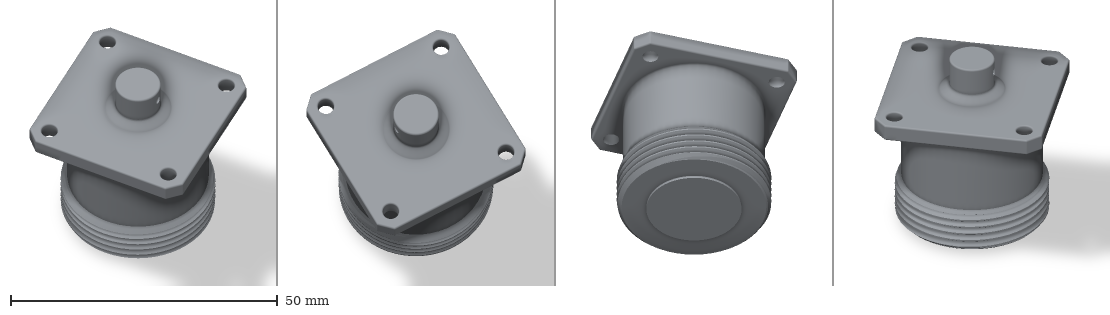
import cadquery as cq
import math

total_height = 34.37
flange_top = 27.65
flange_thickness = 3.2
flange_bottom = flange_top - flange_thickness

flange_width = 32.0
corner_cut = 2.45
edge_round = 0.35

hole_diameter = 3.02
hole_spacing = 24.8
hole_edge_round = 0.3

body_radius = 13.3
spigot_radius = 8.95
spigot_height = 0.5

thread_major_radius = 14.5
thread_root_radius = 13.6
thread_top = 9.05
thread_pitch = 1.48
thread_crest_width = 0.27
groove_width = thread_pitch - thread_crest_width
thread_end_radius = 13.58
groove_start_height = -thread_pitch
groove_turns = 8
groove_clearance = 0.07

knob_radius = 4.25
cone_radius = 6.3
cone_angle = 30.0
cross_hole_diameter = 1.48
cross_hole_height = 31.9


def make_flange():
    """Square plate with cut corners, all outer edges rounded, and four mounting holes."""
    plate = (
        cq.Workplane("XY")
        .workplane(offset=flange_bottom)
        .rect(flange_width, flange_width)
        .extrude(flange_thickness)
        .edges("|Z")
        .chamfer(corner_cut)
        .edges()
        .fillet(edge_round)
    )
    plate = (
        plate.faces(">Z")
        .workplane(origin=(0, 0, flange_top))
        .rect(hole_spacing, hole_spacing, forConstruction=True)
        .vertices()
        .hole(hole_diameter)
    )
    return plate.faces(">Z").edges("%CIRCLE").fillet(hole_edge_round)


def make_knob():
    """Cylindrical knob on a conical foot, pierced by a cross hole along X.

    A disc sunk flush into the flange carries the fillet around the foot of the cone.
    """
    cone_height = (cone_radius - knob_radius) * math.tan(math.radians(cone_angle))
    cone_top = flange_top + cone_height
    disc_radius = cone_radius + 2 * edge_round
    knob = (
        cq.Workplane("XZ")
        .moveTo(0, flange_bottom)
        .lineTo(disc_radius, flange_bottom)
        .lineTo(disc_radius, flange_top)
        .lineTo(cone_radius, flange_top)
        .lineTo(knob_radius, cone_top)
        .lineTo(knob_radius, total_height)
        .lineTo(0, total_height)
        .close()
        .revolve(360, (0, 0), (0, 1))
    )
    knob_edges = cq.selectors.RadiusNthSelector(0)
    foot_edge = cq.selectors.RadiusNthSelector(1)
    knob = knob.edges(knob_edges + foot_edge).fillet(edge_round)
    cross_hole = (
        cq.Workplane("YZ")
        .center(0, cross_hole_height)
        .circle(cross_hole_diameter / 2)
        .extrude(2 * knob_radius, both=True)
    )
    return knob.cut(cross_hole)


def make_body():
    """Round body flaring into the flange, with a thicker chamfered end for the thread."""
    bottom_chamfer = thread_major_radius - thread_end_radius
    top_chamfer = thread_major_radius - body_radius
    return (
        cq.Workplane("YZ")
        .lineTo(spigot_radius, 0)
        .lineTo(spigot_radius, spigot_height)
        .lineTo(thread_end_radius, spigot_height)
        .lineTo(thread_major_radius, spigot_height + bottom_chamfer)
        .lineTo(thread_major_radius, thread_top - top_chamfer)
        .lineTo(body_radius, thread_top)
        .lineTo(body_radius, flange_bottom - edge_round)
        .radiusArc((body_radius + edge_round, flange_bottom), edge_round)
        .lineTo(body_radius + edge_round, flange_bottom + edge_round)
        .lineTo(0, flange_bottom + edge_round)
        .close()
        .revolve(360, (0, 0), (0, 1))
    )


def make_groove_turn():
    """One turn of a right-hand helical V groove, starting on the -Y side at height zero."""
    helix = cq.Wire.makeHelix(thread_pitch, thread_pitch, thread_root_radius)
    flank_slope = groove_width / 2 / (thread_major_radius - thread_root_radius)
    outer_radius = thread_major_radius + groove_clearance
    outer_half_width = flank_slope * (outer_radius - thread_root_radius)
    turn = (
        cq.Workplane("XZ")
        .moveTo(thread_root_radius, 0)
        .lineTo(outer_radius, outer_half_width)
        .lineTo(outer_radius, -outer_half_width)
        .close()
        .sweep(cq.Workplane(helix), isFrenet=True)
    )
    return turn.rotate((0, 0, 0), (0, 0, 1), -90)


def cut_thread(body):
    """Cut the groove one turn at a time, running out past both ends of the thread."""
    turn = make_groove_turn()
    for index in range(groove_turns):
        turn_height = groove_start_height + index * thread_pitch
        body = body.cut(turn.translate((0, 0, turn_height)))
    return body


threaded_body = cut_thread(make_body())
result = threaded_body.union(make_flange()).union(make_knob())